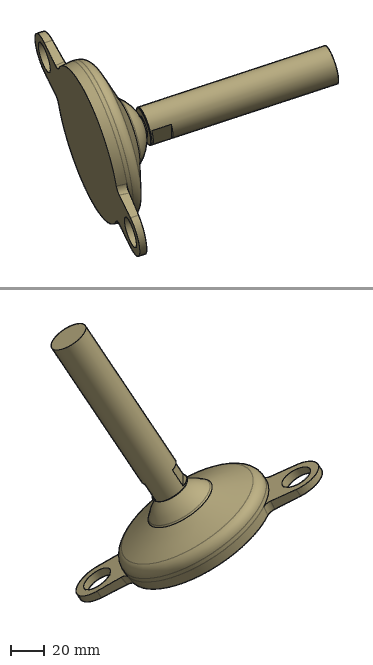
import cadquery as cq
import math

total_length = 166.0
total_height = 155.0

disc_radius = 50.0
sole_radius = 49.1
skirt_height = 6.5
rim_height = 9.1
shoulder_round = 7.5
cone_angle = math.radians(20)
cone_top_radius = 21.9

dome_base_radius = 21.0
dome_base_height = 25.5
dome_radius = 26.9

lug_radius = 15.0
lug_hole_radius = 9.5
lug_tip_thickness = 4.5
lug_root_thickness = 6.3
lug_root_fillet = 5.0
lug_offset = total_length / 2 - lug_radius

stem_radius = 12.0
stem_bottom = 35.7
stem_chamfer = 0.5
neck_radius = 6.6
flat_spacing = 19.0
flat_bottom = 37.2
flat_top = 49.6


def along_y(start):
    """Workplane at height Y = start; negative extrusions rise toward +Y."""
    return cq.Workplane("XZ", origin=(0, start, 0))


def rod(radius, bottom, top):
    return along_y(bottom).circle(radius).extrude(bottom - top)


def make_base():
    """Revolved disc with a tapered skirt, rounded shoulder, cone and ball dome."""
    round_center = disc_radius - shoulder_round

    def shoulder_point(angle):
        return (
            round_center + shoulder_round * math.cos(angle),
            rim_height + shoulder_round * math.sin(angle),
        )

    shoulder_end_angle = math.pi / 2 - cone_angle
    shoulder_end = shoulder_point(shoulder_end_angle)
    cone_rise = (shoulder_end[0] - cone_top_radius) * math.tan(cone_angle)

    dome_center = dome_base_height - math.sqrt(dome_radius**2 - dome_base_radius**2)
    dome_mid_angle = (math.pi / 2 + math.acos(dome_base_radius / dome_radius)) / 2
    dome_mid = (
        dome_radius * math.cos(dome_mid_angle),
        dome_center + dome_radius * math.sin(dome_mid_angle),
    )
    return (
        cq.Workplane("XY")
        .lineTo(sole_radius, 0)
        .lineTo(disc_radius, skirt_height)
        .lineTo(disc_radius, rim_height)
        .threePointArc(shoulder_point(shoulder_end_angle / 2), shoulder_end)
        .lineTo(cone_top_radius, shoulder_end[1] + cone_rise)
        .lineTo(dome_base_radius, dome_base_height)
        .threePointArc(dome_mid, (0, dome_center + dome_radius))
        .close()
        .revolve(360, (0, 0), (0, 1))
    )


def make_lug_plate():
    """Two-eared plate whose ears thin toward the tips and blend into the disc."""
    skirt_taper = math.degrees(math.atan((disc_radius - sole_radius) / skirt_height))
    hub = along_y(0).circle(sole_radius).extrude(-skirt_height, taper=-skirt_taper)
    ears = along_y(0).slot2D(total_length, 2 * lug_radius).extrude(-skirt_height)
    mean_radius = (sole_radius + disc_radius) / 2
    root_x = math.sqrt(mean_radius**2 - lug_radius**2)
    plate = hub.union(ears)
    for side in (-1, 1):
        for edge in (-1, 1):
            root = (side * root_x, skirt_height / 2, edge * lug_radius)
            corner = cq.selectors.NearestToPointSelector(root)
            plate = plate.edges(corner).fillet(lug_root_fillet)

    tip_x = total_length / 2
    envelope = (
        cq.Workplane("XY")
        .polyline([
            (-tip_x, 0),
            (tip_x, 0),
            (tip_x, lug_tip_thickness),
            (root_x, lug_root_thickness),
            (-root_x, lug_root_thickness),
            (-tip_x, lug_tip_thickness),
        ])
        .close()
        .extrude(disc_radius, both=True)
    )
    holes = (
        along_y(0)
        .pushPoints([(-lug_offset, 0), (lug_offset, 0)])
        .circle(lug_hole_radius)
        .extrude(-skirt_height)
    )
    return plate.intersect(envelope).cut(holes)


def make_stem():
    """Plain rod with two wrench flats, on a narrow neck rooted inside the dome."""
    stem = rod(stem_radius, stem_bottom, total_height).faces("<Y").chamfer(stem_chamfer)
    flat_depth = stem_radius - flat_spacing / 2
    flat_height = flat_top - flat_bottom
    for side in (-1, 1):
        cutter = cq.Workplane("XY").box(flat_depth, flat_height, 2 * stem_radius)
        cutter_x = side * (flat_spacing + flat_depth) / 2
        stem = stem.cut(cutter.translate((cutter_x, (flat_bottom + flat_top) / 2, 0)))
    return stem.union(rod(neck_radius, dome_base_height, stem_bottom))


result = make_base().union(make_lug_plate()).union(make_stem())